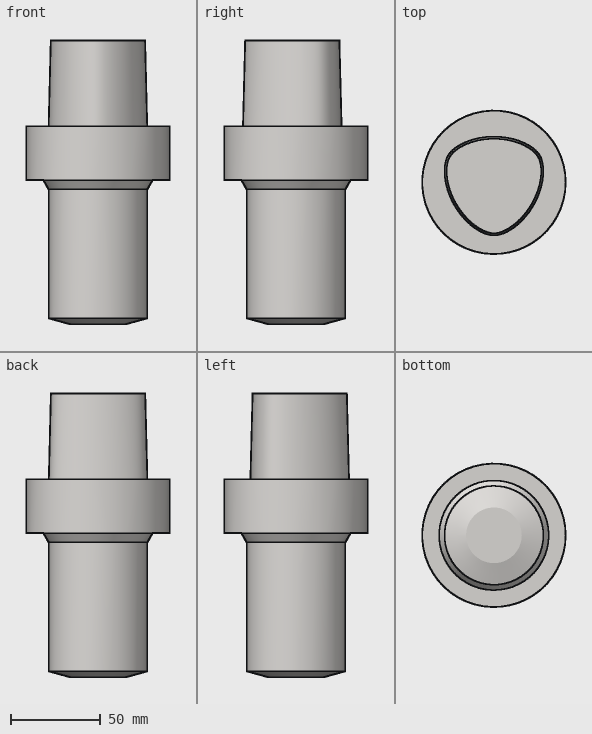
import cadquery as cq
import math

overall_height = 158.0
tip_height = 3.3
collar_height = 5.2
flange_height = 30.0
taper_height = 47.7
shank_height = overall_height - tip_height - collar_height - flange_height - taper_height

shank_radius = 55.0 / 2
flange_radius = 80.0 / 2
tip_radius = 31.0 / 2
collar_half_angle = math.radians(30)
collar_radius = shank_radius + collar_height * math.tan(collar_half_angle)

lobe_height = 2.0
taper_rate = 1 / 20
taper_base_radius = shank_radius
taper_top_radius = taper_base_radius - taper_height * taper_rate / 2


def make_body():
    """Shank with a conical tip, a conical collar and the flange, as one revolved solid."""
    shank_top = tip_height + shank_height
    flange_bottom = shank_top + collar_height
    flange_top = flange_bottom + flange_height
    return (
        cq.Workplane("XZ")
        .lineTo(tip_radius, 0)
        .lineTo(shank_radius, tip_height)
        .lineTo(shank_radius, shank_top)
        .lineTo(collar_radius, flange_bottom)
        .lineTo(flange_radius, flange_bottom)
        .lineTo(flange_radius, flange_top)
        .lineTo(0, flange_top)
        .close()
        .revolve(360, (0, 0, 0), (0, 1, 0))
    )


def lobed_outline_point(mean_radius, angle):
    """Return a point on a rounded triangle that has one lobe pointing to -Y."""
    along = (
        mean_radius * math.cos(angle)
        + 2 * lobe_height * math.cos(2 * angle)
        - lobe_height * math.cos(4 * angle)
    )
    across = (
        mean_radius * math.sin(angle)
        - 2 * lobe_height * math.sin(2 * angle)
        - lobe_height * math.sin(4 * angle)
    )
    return across, -along


def lobed_outline(mean_radius):
    """Return the spline points of the rounded triangle, evenly spaced in angle."""
    point_count = 72
    return [
        lobed_outline_point(mean_radius, 2 * math.pi * index / point_count)
        for index in range(point_count)
    ]


def make_taper():
    """Three-lobed tapered stub standing on the flange."""
    return (
        cq.Workplane("XY")
        .workplane(offset=overall_height - taper_height)
        .spline(lobed_outline(taper_base_radius), periodic=True)
        .close()
        .workplane(offset=taper_height)
        .spline(lobed_outline(taper_top_radius), periodic=True)
        .close()
        .loft(ruled=True, combine=True)
    )


result = make_body().union(make_taper())